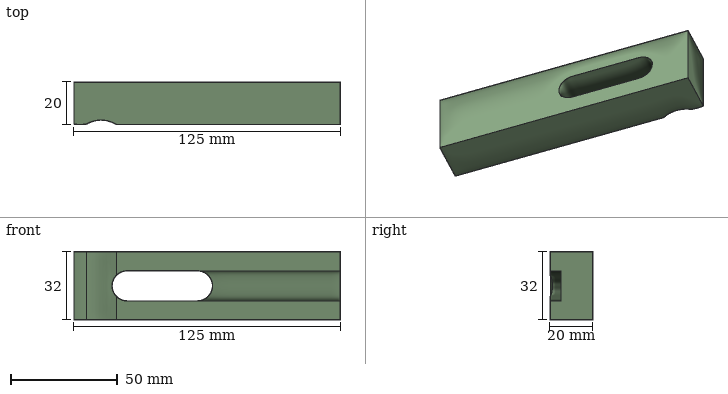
import cadquery as cq
import math

length = 125.0
thickness = 20.0
height = 32.0

nose_length = 6.0
nose_radius = 20.0
groove_end = 20.0
groove_depth = 2.1

slot_start = 18.0
slot_end = 65.0
slot_width = 14.0
channel_depth = 5.0


def bar_body():
    """Bar extruded along Z, with the crowned nose and the relief groove in its outline."""
    nose_half = nose_length / 2
    nose_sag = nose_radius - math.sqrt(nose_radius**2 - nose_half**2)
    groove_middle = (nose_length + groove_end) / 2
    return (
        cq.Workplane("XY")
        .workplane(offset=-height / 2)
        .moveTo(0, nose_sag)
        .threePointArc((nose_half, 0), (nose_length, nose_sag))
        .threePointArc((groove_middle, groove_depth), (groove_end, 0))
        .lineTo(length, 0)
        .lineTo(length, thickness)
        .lineTo(0, thickness)
        .close()
        .extrude(height)
    )


def through_slot():
    """Round-ended slot cutting through the full thickness."""
    slot_length = slot_end - slot_start
    return (
        cq.Workplane("XZ")
        .center((slot_start + slot_end) / 2, 0)
        .slot2D(slot_length, slot_width)
        .extrude(-thickness)
    )


def channel():
    """Shallow channel as wide as the slot, from the middle of the slot out through the far end."""
    channel_start = (slot_start + slot_end) / 2
    return cq.Workplane("XY").box(
        length - channel_start, channel_depth, slot_width, centered=(False, False, True)
    ).translate((channel_start, 0, 0))


result = bar_body().cut(through_slot()).cut(channel())